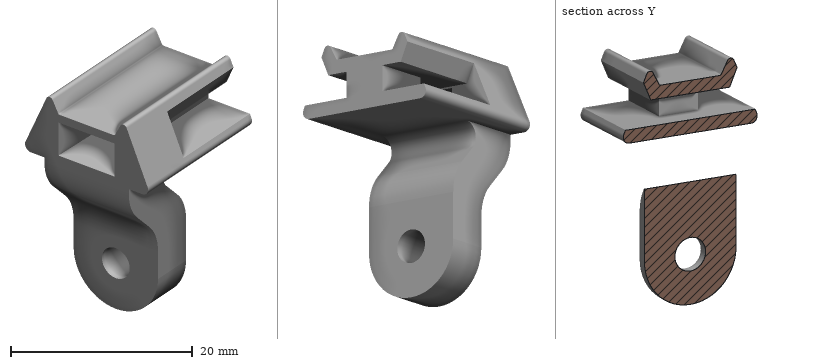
import cadquery as cq
import math

total_height = 27.65
body_length = 19.05
body_height = 7.94
body_bottom = total_height - body_height

base_half_width = 8.9
base_round = 0.8
ridge_outer_half = 5.4
ridge_round = 0.47
channel_floor = total_height - 1.8
channel_wall_angle = math.radians(28)
channel_round = 0.2

mouth_half_width = 3.87
mouth_bottom = total_height - 7.02
mouth_top = total_height - 2.82
throat_half_width = 2.93
throat_bottom = total_height - 6.33
throat_top = total_height - 3.57
mouth_depth = 6.88

slot_floor = throat_bottom
slot_roof = total_height - 3.37
slot_outer_roof = total_height - 1.22
slot_lip_width = 0.95
post_half_width = 2.45
post_front = 12.08

leg_half_width = 5.8
leg_front = 5.36
leg_back = 10.5
upper_front_corner = total_height - 10.73
lower_front_corner = upper_front_corner - leg_front
back_corner = total_height - 14.32
underside_corner_y = leg_back - (body_bottom - back_corner)
bend_radius = 5.35
underside_fillet = 1.6
hole_diameter = 3.82


def flank_half_width(z):
    """Half width of the sloping body side at height z."""
    slope = (base_half_width - ridge_outer_half) / body_height
    return ridge_outer_half + slope * (total_height - z)


def x_edges_at(solid, y, z):
    """Edges along X that pass through the given Y and Z."""
    reach = 0.03
    box = cq.selectors.BoxSelector(
        (-base_half_width, y - reach, z - reach),
        (base_half_width, y + reach, z + reach),
    )
    return solid.edges("|X").edges(box)


def y_edges_at(solid, x, z):
    """Pair of mirrored edges along Y at +x and -x, height z."""
    reach = 0.03
    boxes = [
        cq.selectors.BoxSelector(
            (side * x - reach, 0, z - reach), (side * x + reach, body_length, z + reach)
        )
        for side in (-1, 1)
    ]
    return solid.edges("|Y").edges(boxes[0] + boxes[1])


def extrude_back(points, start, length):
    """Prism of an XZ outline, running towards +Y from Y = start."""
    return cq.Workplane("XZ", origin=(0, start, 0)).polyline(points).close().extrude(-length)


def make_body():
    """Trapezoid with a channel in its top, leaving a fully rounded ridge along each side."""
    flank_angle = math.atan2(base_half_width - ridge_outer_half, body_height)
    ridge_center_x = ridge_outer_half - ridge_round * math.tan(math.pi / 4 - flank_angle / 2)
    ridge_center_z = total_height - ridge_round
    ridge_outer_x = ridge_center_x + ridge_round * math.cos(flank_angle)
    ridge_outer_z = ridge_center_z + ridge_round * math.sin(flank_angle)
    ridge_inner_x = ridge_center_x - ridge_round * math.cos(channel_wall_angle)
    ridge_inner_z = ridge_center_z + ridge_round * math.sin(channel_wall_angle)
    channel_half_width = ridge_inner_x - (ridge_inner_z - channel_floor) * math.tan(channel_wall_angle)
    body = (
        cq.Workplane("XZ")
        .moveTo(-base_half_width, body_bottom)
        .lineTo(base_half_width, body_bottom)
        .lineTo(ridge_outer_x, ridge_outer_z)
        .threePointArc((ridge_center_x, total_height), (ridge_inner_x, ridge_inner_z))
        .lineTo(channel_half_width, channel_floor)
        .lineTo(-channel_half_width, channel_floor)
        .lineTo(-ridge_inner_x, ridge_inner_z)
        .threePointArc((-ridge_center_x, total_height), (-ridge_outer_x, ridge_outer_z))
        .close()
        .extrude(-body_length)
    )
    body = y_edges_at(body, base_half_width, body_bottom).fillet(base_round)
    return y_edges_at(body, channel_half_width, channel_floor).fillet(channel_round)


def make_mouth():
    mouth_middle = (mouth_bottom + mouth_top) / 2
    throat_middle = (throat_bottom + throat_top) / 2
    return (
        cq.Workplane("XZ")
        .center(0, mouth_middle)
        .rect(2 * mouth_half_width, mouth_top - mouth_bottom)
        .workplane(offset=-mouth_depth)
        .center(0, throat_middle - mouth_middle)
        .rect(2 * throat_half_width, throat_top - throat_bottom)
        .loft(ruled=True)
    )


def make_cross_slot():
    """Slot across the body, open at the back, with a roof that rises towards both sides."""
    outer_half = flank_half_width(slot_outer_roof)
    inner_half = outer_half - slot_lip_width
    clear_half = base_half_width
    rise = (slot_outer_roof - slot_roof) / slot_lip_width
    clear_roof = slot_roof + rise * (clear_half - inner_half)
    right_half = [(clear_half, slot_floor), (clear_half, clear_roof), (inner_half, slot_roof)]
    left_half = [(-x, z) for x, z in reversed(right_half)]
    slot = extrude_back(right_half + left_half, mouth_depth, body_length - mouth_depth)
    post = cq.Workplane("XY").box(
        2 * post_half_width, body_length - post_front, body_height, centered=(True, False, False)
    ).translate((0, post_front, body_bottom))
    return slot.cut(post)


def make_leg_face():
    """Leg outline in XZ: straight sides and a half-round lower end concentric with the hole."""
    return (
        cq.Workplane("XZ")
        .moveTo(-leg_half_width, body_bottom)
        .lineTo(-leg_half_width, leg_half_width)
        .threePointArc((0, 0), (leg_half_width, leg_half_width))
        .lineTo(leg_half_width, body_bottom)
        .close()
        .extrude(-body_length)
    )


def make_leg():
    side_outline = [
        (0, body_bottom),
        (0, upper_front_corner),
        (leg_front, lower_front_corner),
        (leg_front, 0),
        (leg_back, 0),
        (leg_back, back_corner),
        (underside_corner_y, body_bottom),
    ]
    leg = (
        cq.Workplane("YZ").polyline(side_outline).close().extrude(leg_half_width, both=True)
    )
    bends = [
        (0, upper_front_corner),
        (leg_front, lower_front_corner),
        (leg_back, back_corner),
    ]
    for y, z in bends:
        leg = x_edges_at(leg, y, z).fillet(bend_radius)
    return leg.intersect(make_leg_face())


def make_hole():
    return (
        cq.Workplane("XZ")
        .center(0, leg_half_width)
        .circle(hole_diameter / 2)
        .extrude(-body_length)
    )


result = make_body().union(make_leg())
result = x_edges_at(result, underside_corner_y, body_bottom).fillet(underside_fillet)
result = result.cut(make_mouth()).cut(make_cross_slot()).cut(make_hole())